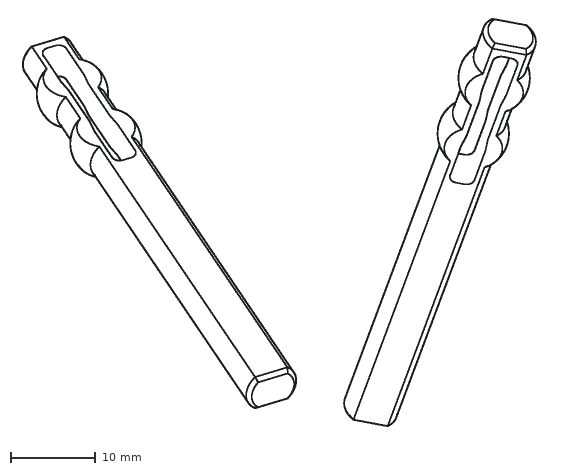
import cadquery as cq

bar_length = 65.62
bar_diameter = 6.54
thickness_across_flats = 5.0
end_chamfer = 0.5

bulge_diameter = 8.54
bulge_spacing = 9.7
bulge_midpoint_x = 12.48
bulge_positions_x = [
    bulge_midpoint_x - bulge_spacing / 2,
    bulge_midpoint_x + bulge_spacing / 2,
]

slot_length = 21.9
slot_width = 3.0
slot_corner_radius = 1.0
waist_width = 2.6
waist_length = 6.0
waist_taper_start = bulge_spacing / 2


def make_bar():
    """Chamfered bar with flats on top and bottom, from X = 0 to its length."""
    rod = cq.Workplane("YZ").circle(bar_diameter / 2).extrude(bar_length)
    flat_stock = cq.Workplane("XY").box(
        bar_length, bar_diameter, thickness_across_flats, centered=(False, True, True)
    )
    return rod.intersect(flat_stock).faces("<X or >X").chamfer(end_chamfer)


def make_bulge(x):
    """Sphere on the bar axis, cut flush with the bar's flats."""
    flat_stock = cq.Workplane("XY").box(bulge_diameter, bulge_diameter, thickness_across_flats)
    return cq.Workplane("XY").sphere(bulge_diameter / 2).intersect(flat_stock).translate((x, 0, 0))


def make_waist_rib(side):
    """Tapered rib that narrows the slot; side is +1 or -1 along Y."""
    wall_y = side * slot_width / 2
    crest_y = side * waist_width / 2
    return (
        cq.Workplane("XY")
        .polyline([
            (-waist_taper_start, wall_y),
            (-waist_length / 2, crest_y),
            (waist_length / 2, crest_y),
            (waist_taper_start, wall_y),
        ])
        .close()
        .extrude(thickness_across_flats / 2, both=True)
    )


def make_slot():
    """Rounded rectangular slot tool, less the ribs on both of its walls."""
    slot = (
        cq.Workplane("XY")
        .box(slot_length, slot_width, thickness_across_flats)
        .edges("|Z")
        .fillet(slot_corner_radius)
    )
    for side in (1, -1):
        slot = slot.cut(make_waist_rib(side))
    return slot.translate((bulge_midpoint_x, 0, 0))


body = make_bar()
for bulge_x in bulge_positions_x:
    body = body.union(make_bulge(bulge_x))
result = body.cut(make_slot())